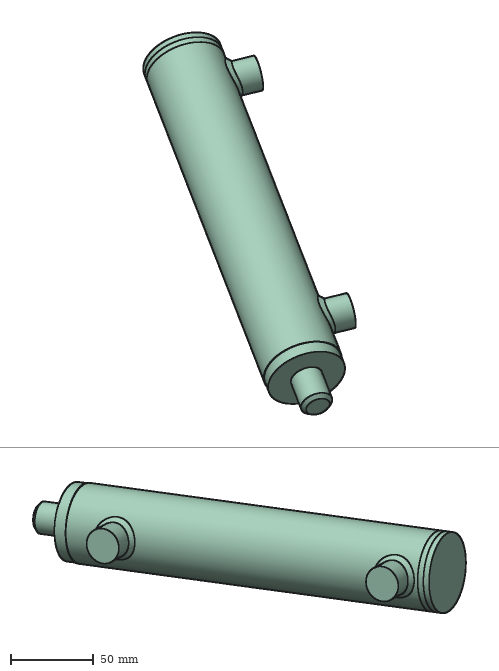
import cadquery as cq

total_length = 279.0
total_width = 65.8
tube_diameter = 50.0
end_cap_length = 4.0
end_ring_length = 4.0
gland_diameter = 49.0
gland_length = 7.8
rod_diameter = 20.0
rod_tip_diameter = 15.0
rod_projection = 23.2

port_diameter = 22.0
port_positions = (24.0, 214.5)
weld_leg = 2.8

port_reach = total_width - tube_diameter / 2
tube_start = end_cap_length + end_ring_length
gland_end = total_length - rod_projection
tube_end = gland_end - gland_length
rod_chamfer = (rod_diameter - rod_tip_diameter) / 2


def cylinder_along_x(start, end, diameter):
    """Solid cylinder on the main axis between two X positions."""
    end_plane = cq.Plane(origin=(start, 0, 0), xDir=(0, -1, 0), normal=(1, 0, 0))
    return cq.Workplane(end_plane).circle(diameter / 2).extrude(end - start)


def port_blank(x):
    """Cylinder running from the main axis out to the port end face."""
    return cq.Workplane("XZ", origin=(x, 0, 0)).circle(port_diameter / 2).extrude(-port_reach)


def make_port(x):
    """Port whose inner end is saddled onto the tube."""
    return port_blank(x).cut(tube)


def make_port_weld(x):
    """Sloped weld bead filling the corner between a port and the tube."""
    joined = tube.union(port_blank(x))
    around_joint = cq.selectors.BoxSelector(
        (x - port_diameter, 0, -port_diameter),
        (x + port_diameter, tube_diameter / 2 + weld_leg, port_diameter),
    )
    beveled = joined.edges(around_joint).chamfer(weld_leg)
    return beveled.cut(joined)


end_cap = cylinder_along_x(0, end_cap_length, tube_diameter)
end_ring = cylinder_along_x(end_cap_length, tube_start, tube_diameter)

tube = cylinder_along_x(tube_start, tube_end, tube_diameter)

rod = cylinder_along_x(tube_end, total_length, rod_diameter).faces(">X").chamfer(rod_chamfer)
gland = cylinder_along_x(tube_end, gland_end, gland_diameter).cut(rod)

ports = []
port_welds = []
for position in port_positions:
    ports.append(make_port(position).val())
    port_welds.append(make_port_weld(position).val())

result = cq.Compound.makeCompound(
    [end_cap.val(), end_ring.val(), tube.val(), gland.val(), rod.val(), *ports, *port_welds]
)